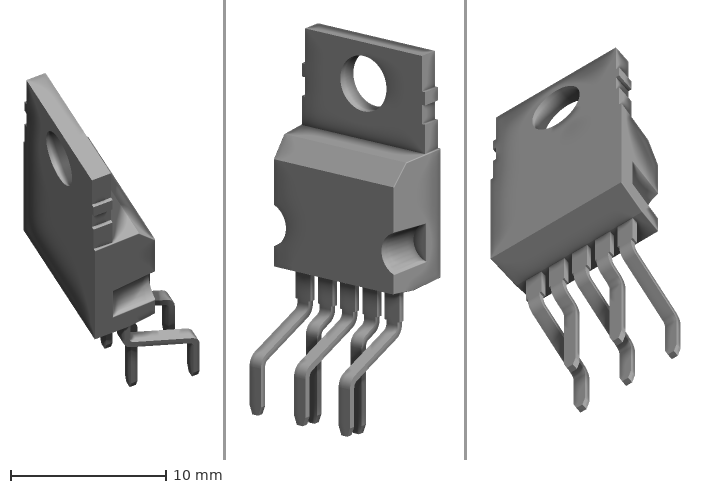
import cadquery as cq
import math


tab_thickness = 1.37
tab_width = 9.5
tab_step_width = 10.0
tab_step_top = -4.6
nub_top = -2.4
nub_bottom = -3.3
hole_diameter = 3.75
hole_center_z = -2.8

body_width = 10.4
body_depth = 4.5
body_top = -6.5
body_bottom = -15.25
parting_y = 2.55
side_draft = 4.0
top_draft = 3.2
bottom_draft = 5.5
chamfer_depth = 1.22
chamfer_drop = 1.38

scallop_center_z = -12.55
scallop_front_radius = 1.49
scallop_axis_outset = 0.49
scallop_draft = 3.5
side_edge_radius = 0.06

lead_count = 5
lead_pitch = 1.81
lead_thickness = 0.45
lead_wide_width = 1.2
lead_width = 0.92
lead_center_y = 2.82
lead_embed = 1.0
shoulder_z = -17.7
bend_start_z = -17.95
bend_angle = 67.0
bend_radius = 1.5 * lead_thickness
tip_width = 0.48
tip_length = 0.6
total_depth = 8.07
far_row_y = total_depth - lead_thickness / 2
near_row_y = 4.27
far_row_tip_z = -24.2
near_row_tip_z = -25.3


def slope(angle):
    return math.tan(math.radians(angle))


body_front_x = body_width / 2 - body_depth * slope(side_draft)


def box_between(width, y_back, y_front, z_low, z_high):
    """Box centred on X = 0 that spans the given Y and Z ranges."""
    return cq.Workplane("XY").box(width, y_front - y_back, z_high - z_low).translate(
        (0, (y_back + y_front) / 2, (z_low + z_high) / 2)
    )


def make_tab():
    """Flat tab with side nubs, a wider lower step and a mounting hole."""
    tab = box_between(tab_width, 0, tab_thickness, body_bottom, 0)
    tab = tab.union(box_between(tab_step_width, 0, tab_thickness, body_bottom, tab_step_top))
    tab = tab.union(box_between(tab_step_width, 0, tab_thickness, nub_bottom, nub_top))
    hole = (
        cq.Workplane("XZ")
        .center(0, hole_center_z)
        .circle(hole_diameter / 2)
        .extrude(-tab_thickness)
    )
    return tab.cut(hole)


def make_scallop(side):
    """Cone that widens towards the front, with its axis along Y just outside the body."""
    length = body_depth - tab_thickness
    floor_radius = scallop_front_radius - length * slope(scallop_draft)
    axis_x = body_front_x + scallop_axis_outset
    return cq.Workplane(
        cq.Solid.makeCone(
            floor_radius,
            scallop_front_radius,
            length,
            pnt=cq.Vector(side * axis_x, tab_thickness, scallop_center_z),
            dir=cq.Vector(0, 1, 0),
        )
    )


def round_side_edges(body):
    """Round every edge of the two drafted side faces except those on the flat back."""
    side_faces = body.faces("<X or >X")
    return side_faces.edges("not(<Y)").fillet(side_edge_radius)


def make_body():
    """Drafted block: its side profile and its tapered plan are intersected and softened."""
    chamfer_y = body_depth - chamfer_depth
    chamfer_z = body_top - chamfer_y * slope(top_draft)
    ridge_z = body_bottom - parting_y * slope(bottom_draft)
    front_bottom_z = ridge_z + (body_depth - parting_y) * slope(bottom_draft)
    profile = (
        cq.Workplane("YZ")
        .polyline([
            (0, body_bottom),
            (0, body_top),
            (chamfer_y, chamfer_z),
            (body_depth, chamfer_z - chamfer_drop),
            (body_depth, front_bottom_z),
            (parting_y, ridge_z),
        ])
        .close()
        .extrude(body_width / 2, both=True)
    )
    back_x = body_width / 2
    plan = (
        cq.Workplane("XY")
        .workplane(offset=ridge_z)
        .polyline([
            (-back_x, 0),
            (back_x, 0),
            (body_front_x, body_depth),
            (-body_front_x, body_depth),
        ])
        .close()
        .extrude(body_top - ridge_z)
    )
    body = profile.intersect(plan)
    for side in (-1, 1):
        body = body.cut(make_scallop(side))
    return round_side_edges(body)


def make_lead(center_x, row_y, tip_z):
    """Strip bent twice to reach its row, narrowed below the shoulder and tapered at the tip."""
    top_z = body_bottom + lead_embed
    angle = math.radians(bend_angle)
    half = angle / 2
    bend_y = bend_radius * (1 - math.cos(angle))
    bend_z = bend_radius * math.sin(angle)
    mid_y = bend_radius * (1 - math.cos(half))
    mid_z = bend_radius * math.sin(half)
    slant_y = row_y - lead_center_y - 2 * bend_y
    bend_end_z = bend_start_z - 2 * bend_z - slant_y / math.tan(angle)
    path = (
        cq.Workplane("YZ")
        .moveTo(lead_center_y, top_z)
        .lineTo(lead_center_y, bend_start_z)
        .threePointArc(
            (lead_center_y + mid_y, bend_start_z - mid_z),
            (lead_center_y + bend_y, bend_start_z - bend_z),
        )
        .lineTo(row_y - bend_y, bend_end_z + bend_z)
        .threePointArc((row_y - mid_y, bend_end_z + mid_z), (row_y, bend_end_z))
        .lineTo(row_y, tip_z)
    )
    strip = (
        cq.Workplane("XY", origin=(0, lead_center_y, top_z))
        .rect(lead_wide_width, lead_thickness)
        .sweep(path)
    )
    right_edge = [
        (lead_wide_width / 2, top_z),
        (lead_wide_width / 2, shoulder_z),
        (lead_width / 2, shoulder_z),
        (lead_width / 2, tip_z + tip_length),
        (tip_width / 2, tip_z),
    ]
    left_edge = [(-x, z) for x, z in reversed(right_edge)]
    outline = cq.Workplane("XZ").polyline(right_edge + left_edge).close().extrude(-total_depth)
    return strip.intersect(outline).translate((center_x, 0, 0))


def make_part():
    """Tab, body and leads; the leads alternate between the far and near rows."""
    part = make_tab().union(make_body())
    for index in range(lead_count):
        center_x = (index - (lead_count - 1) / 2) * lead_pitch
        if index % 2 == 0:
            lead = make_lead(center_x, far_row_y, far_row_tip_z)
        else:
            lead = make_lead(center_x, near_row_y, near_row_tip_z)
        part = part.union(lead)
    return part


result = make_part()